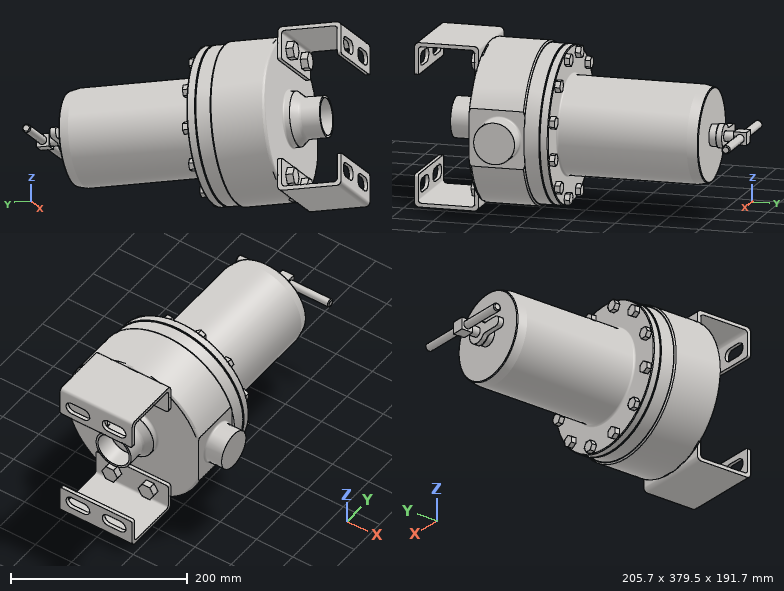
import cadquery as cq
import math


BODY_RADIUS = 94.3
BODY_LENGTH = 66.0
BODY_FRONT_FILLET = 3.0
BODY_REAR_CHAMFER = 1.7
BODY_FLAT_X = 88.1

FLANGE_RADIUS = 91.9
FLANGE_END_Y = 94.5
FLANGE_REAR_CHAMFER = 1.0
JOINT_Y = 84.2
JOINT_WIDTH = 1.2
JOINT_DEPTH = 1.0

FLANGE_BOLT_COUNT = 12
FLANGE_BOLT_CIRCLE_RADIUS = 83.6
FLANGE_BOLT_ACROSS_FLATS = 12.7
FLANGE_BOLT_HEAD_HEIGHT = 6.35
FLANGE_BOLT_HEAD_TURN = 15.0

TUBE_RADIUS = 57.15
TUBE_TAPER_START_Y = 248.0
TUBE_END_Y = 260.5
TUBE_END_RADIUS = 54.7
TUBE_END_CHAMFER = 1.0
WELD_RADIUS = 2.4

SCREW_BOSS_RADIUS = 12.7
NUT_START_Y = 269.0
NUT_THICKNESS = 7.0
NUT_RADIUS = 13.9
LEVER_HALF_WIDTH = 6.35
LEVER_REACH = 40.4
LEVER_ROOT_FILLET = 5.7
STEM_RADIUS = 6.0
HEAD_WIDTH = 15.875
HEAD_LENGTH = 15.2
SCREW_END_Y = 303.48
BAR_LENGTH = 128.0
BAR_RADIUS = 5.0
BAR_CHAMFER = 1.3

PIPE_RADIUS = 24.15
PIPE_BORE_RADIUS = 21.5
FRONT_NOZZLE_END_Y = -41.2
FRONT_HUB_RADIUS = 32.0
FRONT_HUB_LENGTH = 8.0
FRONT_CONE_END = 17.3
FRONT_CONE_FILLET = 5.0
SIDE_NOZZLE_END_X = 111.35
SIDE_NOZZLE_Y = 36.7

BRACKET_WIDTH = 100.0
BRACKET_DEPTH = 76.0
BRACKET_LEG_HEIGHT = 38.0
BRACKET_OUTER_Z = 191.69 / 2
BRACKET_THICKNESS = 4.76
BRACKET_OUTER_BEND = 5.5
BRACKET_INNER_BEND = 4.0
BRACKET_CORNER_RADIUS = 3.0
SLOT_LENGTH = 32.5
SLOT_WIDTH = 16.0
SLOT_SPACING = 50.0
SLOT_Z = 73.7
BRACKET_BOLT_ACROSS_FLATS = 18.6
BRACKET_BOLT_HEAD_HEIGHT = 8.6


def y_plane(y):
    """Plane at the given Y, with local axes X and Z, and a normal towards +Y."""
    return cq.Plane(origin=(0, y, 0), xDir=(-1, 0, 0), normal=(0, 1, 0))


def y_cylinder(radius, start_y, end_y):
    return cq.Workplane(y_plane(start_y)).circle(radius).extrude(end_y - start_y)


def hex_head(x, z, start_y, height, across_flats, turn=0.0):
    """Hexagonal bolt head rising by height along Y; a corner points along X when turn is 0."""
    across_corners = across_flats / math.cos(math.radians(30))
    head = cq.Workplane(y_plane(start_y)).polygon(6, across_corners).extrude(height)
    return head.rotate((0, 0, 0), (0, 1, 0), turn).translate((x, 0, z))


def make_body():
    body = y_cylinder(BODY_RADIUS, 0, BODY_LENGTH)
    body = body.faces("<Y").edges().fillet(BODY_FRONT_FILLET)
    body = body.faces(">Y").edges().chamfer(BODY_REAR_CHAMFER)
    beyond_flat = (
        cq.Workplane("YZ", origin=(BODY_FLAT_X, BODY_LENGTH / 2, 0))
        .rect(BODY_LENGTH, 2 * BODY_RADIUS)
        .extrude(BODY_RADIUS)
    )
    return body.cut(beyond_flat)


def make_flange():
    flange = y_cylinder(FLANGE_RADIUS, BODY_LENGTH, FLANGE_END_Y)
    flange = flange.faces(">Y").edges().chamfer(FLANGE_REAR_CHAMFER)
    groove_start = JOINT_Y - JOINT_WIDTH / 2
    groove = y_cylinder(FLANGE_RADIUS, groove_start, groove_start + JOINT_WIDTH)
    core = y_cylinder(FLANGE_RADIUS - JOINT_DEPTH, groove_start, groove_start + JOINT_WIDTH)
    return flange.cut(groove.cut(core))


def make_flange_bolts():
    bolts = cq.Workplane()
    pitch = 360 / FLANGE_BOLT_COUNT
    for index in range(FLANGE_BOLT_COUNT):
        angle = math.radians((index + 0.5) * pitch)
        bolts = bolts.add(
            hex_head(
                FLANGE_BOLT_CIRCLE_RADIUS * math.cos(angle),
                FLANGE_BOLT_CIRCLE_RADIUS * math.sin(angle),
                FLANGE_END_Y,
                FLANGE_BOLT_HEAD_HEIGHT,
                FLANGE_BOLT_ACROSS_FLATS,
                -math.degrees(angle) - FLANGE_BOLT_HEAD_TURN,
            )
        )
    return bolts.combine()


def make_tube():
    """Tube with a concave weld fillet at its root and a slight taper at its far end."""
    profile = (
        cq.Workplane("XY")
        .moveTo(0, FLANGE_END_Y)
        .lineTo(TUBE_RADIUS + WELD_RADIUS, FLANGE_END_Y)
        .radiusArc((TUBE_RADIUS, FLANGE_END_Y + WELD_RADIUS), WELD_RADIUS)
        .lineTo(TUBE_RADIUS, TUBE_TAPER_START_Y)
        .lineTo(TUBE_END_RADIUS, TUBE_END_Y - TUBE_END_CHAMFER)
        .lineTo(TUBE_END_RADIUS - TUBE_END_CHAMFER, TUBE_END_Y)
        .lineTo(0, TUBE_END_Y)
        .close()
    )
    return profile.revolve(360, (0, 0, 0), (0, 1, 0))


def make_lever_nut():
    """Round lock nut with a round-ended lever towards -X, blended into the nut."""
    end_center_x = LEVER_REACH - LEVER_HALF_WIDTH
    nut = y_cylinder(NUT_RADIUS, NUT_START_Y, NUT_START_Y + NUT_THICKNESS)
    lever = (
        cq.Workplane("XZ", origin=(-end_center_x / 2, NUT_START_Y, 0))
        .rect(end_center_x, 2 * LEVER_HALF_WIDTH)
        .extrude(-NUT_THICKNESS)
    )
    lever_end = y_cylinder(LEVER_HALF_WIDTH, NUT_START_Y, NUT_START_Y + NUT_THICKNESS)
    root_x = -math.sqrt(NUT_RADIUS**2 - LEVER_HALF_WIDTH**2)
    nut = nut.union(lever)
    for side in (-1, 1):
        root = cq.selectors.NearestToPointSelector(
            (root_x, NUT_START_Y + NUT_THICKNESS / 2, side * LEVER_HALF_WIDTH)
        )
        nut = nut.edges("|Y").edges(root).fillet(LEVER_ROOT_FILLET)
    return nut.union(lever_end.translate((-end_center_x, 0, 0)))


def make_screw():
    boss = y_cylinder(SCREW_BOSS_RADIUS, TUBE_END_Y, NUT_START_Y)
    head_start = SCREW_END_Y - HEAD_LENGTH
    stem = y_cylinder(STEM_RADIUS, NUT_START_Y, head_start)
    head_center_y = SCREW_END_Y - HEAD_LENGTH / 2
    head = cq.Workplane("XY").box(HEAD_WIDTH, HEAD_LENGTH, HEAD_LENGTH)
    head = head.translate((0, head_center_y, 0))
    bar = (
        cq.Workplane("YZ", origin=(-BAR_LENGTH / 2, head_center_y, 0))
        .circle(BAR_RADIUS)
        .extrude(BAR_LENGTH)
        .faces("<X or >X")
        .edges()
        .chamfer(BAR_CHAMFER)
    )
    return boss.union(make_lever_nut()).union(stem).union(head).union(bar)


def make_front_nozzle():
    """Hub, cone and pipe end on the main axis, with a weld fillet where the hub meets the body."""
    profile = (
        cq.Workplane("XY")
        .lineTo(FRONT_HUB_RADIUS, 0)
        .lineTo(FRONT_HUB_RADIUS, -FRONT_HUB_LENGTH)
        .lineTo(PIPE_RADIUS, -FRONT_CONE_END)
        .lineTo(PIPE_RADIUS, FRONT_NOZZLE_END_Y)
        .lineTo(0, FRONT_NOZZLE_END_Y)
        .close()
    )
    nozzle = profile.revolve(360, (0, 0, 0), (0, 1, 0))
    cone_root = cq.selectors.NearestToPointSelector((0, -FRONT_CONE_END, 0))
    nozzle = nozzle.edges("%CIRCLE").edges(cone_root).fillet(FRONT_CONE_FILLET)
    weld = (
        cq.Workplane("XY")
        .lineTo(FRONT_HUB_RADIUS + WELD_RADIUS, 0)
        .radiusArc((FRONT_HUB_RADIUS, -WELD_RADIUS), -WELD_RADIUS)
        .lineTo(0, -WELD_RADIUS)
        .close()
        .revolve(360, (0, 0, 0), (0, 1, 0))
    )
    return nozzle.union(weld)


def make_side_nozzle():
    """Plain pipe stub on the body flat, with a weld fillet at its root."""
    profile = (
        cq.Workplane("XY", origin=(0, SIDE_NOZZLE_Y, 0))
        .moveTo(BODY_FLAT_X, 0)
        .lineTo(BODY_FLAT_X, PIPE_RADIUS + WELD_RADIUS)
        .radiusArc((BODY_FLAT_X + WELD_RADIUS, PIPE_RADIUS), -WELD_RADIUS)
        .lineTo(SIDE_NOZZLE_END_X, PIPE_RADIUS)
        .lineTo(SIDE_NOZZLE_END_X, 0)
        .close()
    )
    return profile.revolve(360, (0, 0, 0), (1, 0, 0))


def make_upper_bracket():
    """Channel opening towards the axis, with slots in its front leg and bolt heads on its rear leg."""
    center_y = -BRACKET_DEPTH / 2
    center_z = BRACKET_OUTER_Z - BRACKET_LEG_HEIGHT / 2
    bracket = cq.Workplane("XY").box(BRACKET_WIDTH, BRACKET_DEPTH, BRACKET_LEG_HEIGHT)
    bracket = bracket.edges("|X and >Z").fillet(BRACKET_OUTER_BEND)
    inside = (
        cq.Workplane("XY")
        .box(BRACKET_WIDTH, BRACKET_DEPTH - 2 * BRACKET_THICKNESS, BRACKET_LEG_HEIGHT)
        .edges("|X and >Z")
        .fillet(BRACKET_INNER_BEND)
        .translate((0, 0, -BRACKET_THICKNESS))
    )
    bracket = bracket.cut(inside)
    bracket = bracket.edges("|Y and <Z").fillet(BRACKET_CORNER_RADIUS)
    bracket = bracket.translate((0, center_y, center_z))
    slots = (
        cq.Workplane("XZ", origin=(0, -BRACKET_DEPTH + BRACKET_THICKNESS, SLOT_Z))
        .rarray(SLOT_SPACING, 1, 2, 1)
        .slot2D(SLOT_LENGTH, SLOT_WIDTH)
        .extrude(BRACKET_THICKNESS)
    )
    bracket = bracket.cut(slots)
    for side in (-1, 1):
        bracket = bracket.union(
            hex_head(
                side * SLOT_SPACING / 2,
                SLOT_Z,
                -BRACKET_THICKNESS - BRACKET_BOLT_HEAD_HEIGHT,
                BRACKET_BOLT_HEAD_HEIGHT,
                BRACKET_BOLT_ACROSS_FLATS,
            )
        )
    return bracket


upper_bracket = make_upper_bracket()
front_bore = y_cylinder(PIPE_BORE_RADIUS, FRONT_NOZZLE_END_Y, -FRONT_CONE_END)

result = (
    make_body()
    .union(make_flange())
    .union(make_flange_bolts())
    .union(make_tube())
    .union(make_screw())
    .union(make_front_nozzle())
    .union(make_side_nozzle())
    .union(upper_bracket)
    .union(upper_bracket.mirror("XY"))
    .cut(front_bore)
)